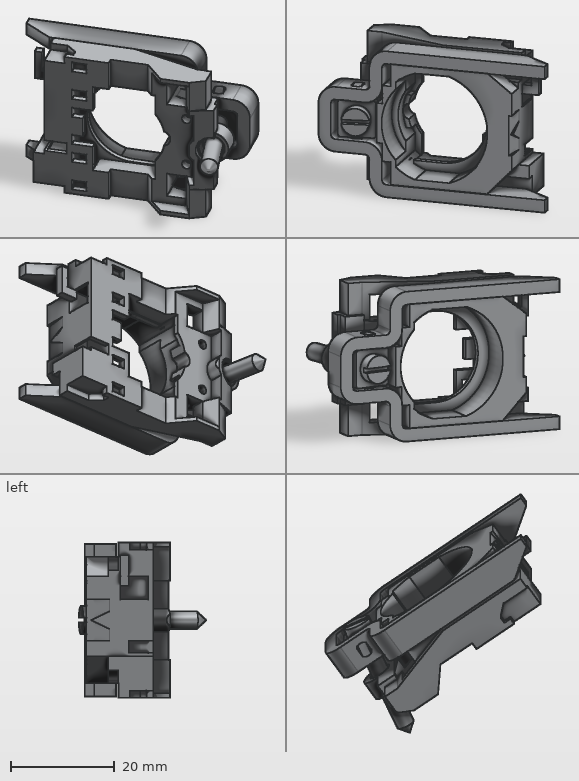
import cadquery as cq
import math


LENGTH = 46.0
STRIP = 2.55
CLAMP_FRONT = -6.05
ARM_OUTER_Z = 14.7
ARM_INNER_Z = ARM_OUTER_Z - STRIP
ARM_TIP_DEPTH = 1.9
ARM_TAPER_LENGTH = 5.75
CROSSBAR_INNER_X = 33.07
CROSSBAR_OUTER_X = CROSSBAR_INNER_X + STRIP
BEND_INNER_R = 0.95
BEND_OUTER_R = BEND_INNER_R + STRIP
LOOP_OUTER_Z = 6.55
LOOP_INNER_Z = LOOP_OUTER_Z - STRIP

TILT = 10.0
PIVOT_X = 38.95
PIVOT_Y = CLAMP_FRONT / 2
SHANK_D = 3.5
HEAD_D = 5.5
HEAD_HEIGHT = 2.3
DRIVE_SLOT_WIDTH = 0.87
DRIVE_SLOT_DEPTH = 1.1
TIP_LENGTH = 1.95
TIP_REACH = 20.75
NUT_LENGTH = 7.35
NUT_HALF_HEIGHT = 3.73
NUT_THICKNESS = 2.95
NUT_CORNER_R = 0.45
TRUNNION_D = 2.95
TRUNNION_FLATS = 1.75
TRUNNION_HOLE_FLATS = 2.15

HALF_HEIGHT = 15.0
LEFT_X = 6.8
FOOT_LEFT_X = 4.65
FOOT_TOP_Z = -7.0
CORE_BACK = -0.3
CORE_STEP_Y = -4.5
CORE_FRONT = -11.05
PLATE_BACK = -6.5
BACK_SLOPE_START_X = 22.9
BACK_SLOPE_END_X = 36.8
PLATE_END_BACK = -11.0
PLATE_RIGHT_X = 39.7
FACE_Y = -13.25
WAIST_START_X = 19.75
WAIST_END_X = 27.2
WAIST_Y = -11.8
NOSE_START_X = 31.0
NOSE_Y = -16.45
CORE_END_X = 31.4
CORE_BEVEL_Z = 8.45
ARM_RELIEF_X = 11.78
ARM_RELIEF_Z = 9.6
ARM_RELIEF_D = 4.0

BORE_X = 23.0
CAVITY_R = 11.25
CAVITY_HALF_HEIGHT = 10.7
CAVITY_END_X = 30.4
END_BORE_R = 10.25
LIP_BACK = -7.1
LIP_FRONT = -8.3
LIP_R = 8.95
LIP_END_X = 29.9
OPENING_LEFT_X = 16.5
OPENING_RIGHT_X = 29.03
OPENING_HALF_HEIGHT = 9.2
FRONT_BORE_R = 7.95
FRONT_BORE_BACK = -9.55
RIM_THICKNESS = 1.05
POST_HALF_HEIGHT = 3.3
SCALLOP_X = 30.45
SCALLOP_R = 1.6

FRONT_WALL = 1.4
WINDOW_LEFT_X = 12.37
WINDOW_WIDTH = 2.9
WINDOW_HEIGHT = 2.02
WINDOW_PITCHES = (6.95, 13.0)
NOTCH_HALF_HEIGHT = 4.0
TONGUE_END_X = 14.55

POCKET_HALF_HEIGHT = 14.1
POCKET_LEFT_X = 28.4
POCKET_FOOT_X = 35.4
BLOCK_LEFT_X = 36.75
BLOCK_RIGHT_X = 41.25
BLOCK_EDGE_Y = -14.9
BLOCK_BACK = -10.0
BLOCK_STEP_Y = -12.35
BLOCK_HALF_HEIGHT = 8.7
CENTRE_HALF_HEIGHT = 7.65
CENTRE_WALL_X = 37.6
PEDESTAL_END_X = 35.0
PEDESTAL_CORNER_R = 2.75
GUSSET_LEFT_X = 34.5
GUSSET_BACK = -8.0
SIDE_WINDOW_RIGHT_X = 35.35
SIDE_WINDOW_TOP_Z = 12.55
PILOT_D = 1.85
PILOT_X = 35.35
PILOT_Z = 5.0
PILOT_DEPTH = 2.3
BOSS_X = 40.7
BOSS_R = 3.2
BOSS_FRONT = -13.95
COLLAR_R = 2.75
COLLAR_X = 39.25
SCREW_HOLE_D = 4.35
HOLE_MOUTH_D = 4.9
HOLE_MOUTH_FLOOR = -12.4
HOLE_RIM_D = 5.5
HOLE_RIM_FLOOR = -14.7

RECESS_DEPTH = 0.6
RECESS_HALF_HEIGHT = 4.0
RECESS_FRONT = -4.8
TOOTH_TIP_Y = -1.25
TOOTH_HALF_HEIGHT = 1.7
CORNER_NOTCH_Z = 13.55
CORNER_NOTCH_BACK = -8.75
CORNER_NOTCH_END_X = 12.3
CORNER_BEVEL_X = 10.15
CORNER_BEVEL_Y = -10.7
CORNER_LIP_X = 10.85
CORNER_LIP_Y = -12.0
HOOK_LEFT_X = 3.55
HOOK_WIDTH = 1.43
HOOK_TOP_Z = 12.55
HOOK_BOTTOM_Z = 6.62
HOOK_LEG_TOP_Z = 8.45
HOOK_BACK = -6.9
HOOK_FRONT = -8.45
END_WALL = 0.45
END_WINDOW_Z = 4.0
LOWER_WINDOW_BOTTOM_Z = -6.3
CHAMBER_END_X = 11.3
CHAMBER_FRONT = -12.3
CHAMBER_BOTTOM_Z = -6.75
CHAMBER_TOP_Z = 9.2

CLEAR = 2.3


def block(x0, x1, y0, y1, z0, z1):
    """Box between two opposite corners."""
    return cq.Workplane("XY").box(x1 - x0, y1 - y0, z1 - z0, centered=False).translate((x0, y0, z0))


def slab(points, half_height):
    """XY outline extruded equally up and down from Z = 0."""
    return cq.Workplane("XY").polyline(points).close().extrude(half_height, both=True)


def facing(back, front, sketch):
    """XZ sketch extruded from the back plane towards the front plane."""
    return sketch(cq.Workplane("XZ", origin=(0, back, 0))).extrude(back - front)


def round_bar(x, z, radius, back, front):
    """Cylinder along Y."""
    return facing(back, front, lambda plane: plane.center(x, z).circle(radius))


def tilted(shape):
    """Move a shape built along Y at the origin onto the tilted screw axis."""
    return shape.rotate((0, 0, 0), (0, 0, 1), TILT).translate((PIVOT_X, PIVOT_Y, 0))


def mirrored(shape):
    """Copy of a shape on the other side of Z = 0."""
    return shape.mirror("XY")


def trunnion_bar(flats):
    """Bar along Z, round in section with two flats facing +X and -X."""
    bar = cq.Workplane("XY").circle(TRUNNION_D / 2).extrude(LOOP_OUTER_Z, both=True)
    keep = cq.Workplane("XY").rect(flats, TRUNNION_D).extrude(LOOP_OUTER_Z, both=True)
    return bar.intersect(keep)


def make_clamp():
    diagonal = math.sqrt(0.5)
    bend_x = CROSSBAR_OUTER_X - BEND_OUTER_R
    bend_z = ARM_OUTER_Z - BEND_OUTER_R
    neck_x = CROSSBAR_OUTER_X + BEND_INNER_R
    neck_z = LOOP_OUTER_Z + BEND_INNER_R
    loop_x = LENGTH - BEND_OUTER_R
    loop_z = LOOP_OUTER_Z - BEND_OUTER_R

    def bend(plane, x, z, radius, side_x, side_z, end):
        """Quarter turn about (x, z) that bulges towards the given sides."""
        middle = (x + side_x * radius * diagonal, z + side_z * radius * diagonal)
        return plane.threePointArc(middle, end)

    def upper_half(plane):
        plane = plane.moveTo(0, ARM_OUTER_Z).lineTo(bend_x, ARM_OUTER_Z)
        plane = bend(plane, bend_x, bend_z, BEND_OUTER_R, 1, 1, (CROSSBAR_OUTER_X, bend_z))
        plane = plane.lineTo(CROSSBAR_OUTER_X, neck_z)
        plane = bend(plane, neck_x, neck_z, BEND_INNER_R, -1, -1, (neck_x, LOOP_OUTER_Z))
        plane = plane.lineTo(loop_x, LOOP_OUTER_Z)
        plane = bend(plane, loop_x, loop_z, BEND_OUTER_R, 1, 1, (LENGTH, loop_z))
        plane = plane.lineTo(LENGTH, 0).lineTo(LENGTH - STRIP, 0).lineTo(LENGTH - STRIP, loop_z)
        plane = bend(plane, loop_x, loop_z, BEND_INNER_R, 1, 1, (loop_x, LOOP_INNER_Z))
        plane = plane.lineTo(neck_x, LOOP_INNER_Z)
        plane = bend(plane, neck_x, neck_z, BEND_OUTER_R, -1, -1, (CROSSBAR_INNER_X, neck_z))
        plane = plane.lineTo(CROSSBAR_INNER_X, bend_z)
        plane = bend(plane, bend_x, bend_z, BEND_INNER_R, 1, 1, (bend_x, ARM_INNER_Z))
        return plane.lineTo(0, ARM_INNER_Z).close()

    half = facing(0, CLAMP_FRONT, upper_half)
    clamp = half.union(mirrored(half))
    taper = [(0, -ARM_TIP_DEPTH), (ARM_TAPER_LENGTH, CLAMP_FRONT), (0, CLAMP_FRONT)]
    clamp = clamp.cut(slab(taper, HALF_HEIGHT))
    return clamp.cut(trunnion_bar(TRUNNION_HOLE_FLATS).translate((PIVOT_X, PIVOT_Y, 0)))


def make_screw():
    seat = NUT_THICKNESS / 2
    head_top = seat + HEAD_HEIGHT
    profile = [
        (0, head_top),
        (HEAD_D / 2, head_top),
        (HEAD_D / 2, seat),
        (SHANK_D / 2, seat),
        (SHANK_D / 2, TIP_LENGTH - TIP_REACH),
        (0, -TIP_REACH),
    ]
    screw = cq.Workplane("XY").polyline(profile).close().revolve(360, (0, 0, 0), (0, 1, 0))
    drive_slot = cq.Workplane("XY").box(2 * HEAD_D, 2 * DRIVE_SLOT_DEPTH, DRIVE_SLOT_WIDTH)
    return tilted(screw.cut(drive_slot.translate((0, head_top, 0))))


def make_nut():
    nut = cq.Workplane("XY").box(NUT_LENGTH, NUT_THICKNESS, 2 * NUT_HALF_HEIGHT)
    nut = nut.edges("|Y").fillet(NUT_CORNER_R)
    nut = nut.union(trunnion_bar(TRUNNION_FLATS))
    return tilted(nut.cut(round_bar(0, 0, SHANK_D / 2, NUT_THICKNESS, -NUT_THICKNESS)))


def housing_plate():
    """Full-height front part, with its waist and its raised right end."""
    outline = [
        (LEFT_X, PLATE_BACK),
        (BACK_SLOPE_START_X, PLATE_BACK),
        (BACK_SLOPE_END_X, PLATE_END_BACK),
        (PLATE_RIGHT_X, PLATE_END_BACK),
        (PLATE_RIGHT_X, BLOCK_EDGE_Y),
        (BLOCK_LEFT_X, NOSE_Y),
        (NOSE_START_X, NOSE_Y),
        (WAIST_END_X, WAIST_Y),
        (WAIST_START_X, WAIST_Y),
        (WAIST_START_X, FACE_Y),
        (LEFT_X, FACE_Y),
    ]
    foot = block(FOOT_LEFT_X, LEFT_X, FACE_Y, CORE_STEP_Y, -HALF_HEIGHT, FOOT_TOP_Z)
    return slab(outline, HALF_HEIGHT).union(foot)


def housing_core():
    """Rear part that fits between the clamp arms, with a nose reaching into the clamp loop."""
    outline = [
        (LEFT_X, FOOT_TOP_Z),
        (ARM_RELIEF_X, -ARM_INNER_Z),
        (CORE_END_X, -ARM_INNER_Z),
        (CORE_END_X, ARM_INNER_Z),
        (ARM_RELIEF_X, ARM_INNER_Z),
        (LEFT_X, CORE_BEVEL_Z),
    ]
    core = facing(CORE_BACK, CORE_STEP_Y, lambda plane: plane.polyline(outline).close())
    core = core.union(block(LEFT_X, CORE_END_X, CORE_FRONT, CORE_STEP_Y, -ARM_INNER_Z, ARM_INNER_Z))
    nose_x = CROSSBAR_INNER_X
    nose_z = CENTRE_HALF_HEIGHT
    core = core.union(block(CORE_END_X, nose_x, PLATE_BACK, CORE_BACK, -nose_z, nose_z))
    tip_x = BORE_X + CAVITY_R
    return core.union(block(nose_x, tip_x, PLATE_BACK, CORE_BACK, -LOOP_INNER_Z, LOOP_INNER_Z))


def arm_relief():
    """Clearance beside one clamp arm, with a rounded inner corner."""
    relief = block(0, ARM_RELIEF_X, PLATE_BACK, CORE_STEP_Y, ARM_RELIEF_Z, HALF_HEIGHT)
    return relief.edges("|Y and >X and <Z").fillet(ARM_RELIEF_D / 2)


def rim_relief():
    """Space behind the thin right rim of the front opening, leaving a thick post around the scallop."""
    rim_back = FACE_Y + RIM_THICKNESS
    half_height = CAVITY_HALF_HEIGHT
    flat_end = block(OPENING_RIGHT_X, CAVITY_END_X, rim_back, PLATE_BACK, -half_height, half_height)
    relief = flat_end.intersect(round_bar(BORE_X, 0, CAVITY_R, PLATE_BACK, rim_back))
    round_end = block(OPENING_RIGHT_X, LENGTH, rim_back, PLATE_BACK, -half_height, half_height)
    relief = relief.union(round_end.intersect(round_bar(BORE_X, 0, LIP_R, PLATE_BACK, rim_back)))
    post_z = POST_HALF_HEIGHT
    return relief.cut(block(OPENING_RIGHT_X, LENGTH, rim_back, FRONT_BORE_BACK, -post_z, post_z))


def bore_cut():
    """Stepped bore: wide rear cavity, lip, and the opening in the front face."""
    back = CORE_BACK + CLEAR
    cavity = round_bar(BORE_X, 0, CAVITY_R, back, LIP_BACK)
    limit = block(0, CAVITY_END_X, LIP_BACK, back, -CAVITY_HALF_HEIGHT, CAVITY_HALF_HEIGHT)
    cut = cavity.intersect(limit)
    end_bore = round_bar(BORE_X, 0, END_BORE_R, back, PLATE_BACK)
    cut = cut.union(end_bore.intersect(block(BORE_X, LENGTH, FACE_Y, back, -LIP_R, LIP_R)))
    cut = cut.union(round_bar(BORE_X, 0, LIP_R, LIP_BACK, LIP_FRONT))
    cut = cut.union(block(BORE_X, LIP_END_X, LIP_FRONT, LIP_BACK, -LIP_R, LIP_R))
    opening_z = OPENING_HALF_HEIGHT
    front = NOSE_Y - CLEAR
    cut = cut.union(block(OPENING_LEFT_X, OPENING_RIGHT_X, front, LIP_FRONT, -opening_z, opening_z))
    front_bore = round_bar(BORE_X, 0, FRONT_BORE_R, FRONT_BORE_BACK, front)
    cut = cut.union(front_bore.intersect(block(BORE_X, LENGTH, front, 0, -opening_z, opening_z)))
    cut = cut.union(round_bar(SCALLOP_X, 0, SCALLOP_R, FRONT_BORE_BACK, front))
    return cut.union(rim_relief())


def contact_windows():
    """Chamber behind the front wall, the windows into it, and the notch with a tongue."""
    wall_back = FACE_Y + FRONT_WALL
    window_right = WINDOW_LEFT_X + WINDOW_WIDTH
    top = CAVITY_HALF_HEIGHT
    cut = block(WINDOW_LEFT_X, OPENING_LEFT_X, wall_back, LIP_FRONT, -top, top)
    for pitch in WINDOW_PITCHES:
        for centre in (-pitch, pitch):
            low = centre - WINDOW_HEIGHT / 2
            window = block(WINDOW_LEFT_X, window_right, FACE_Y, wall_back, low, low + WINDOW_HEIGHT)
            cut = cut.union(window)
    notch_z = NOTCH_HALF_HEIGHT
    tongue_z = notch_z - WINDOW_HEIGHT
    notch = block(WINDOW_LEFT_X, OPENING_LEFT_X, FACE_Y, wall_back, -notch_z, notch_z)
    tongue = block(WINDOW_LEFT_X, TONGUE_END_X, FACE_Y, wall_back, -tongue_z, tongue_z)
    return cut.union(notch.cut(tongue))


def terminal_pocket():
    """Recess down to the front face level, stopped by a sloping wall on the right."""
    outline = [
        (POCKET_LEFT_X, FACE_Y),
        (POCKET_FOOT_X, FACE_Y),
        (BLOCK_LEFT_X, NOSE_Y),
        (BLOCK_LEFT_X, NOSE_Y - CLEAR),
        (POCKET_LEFT_X, NOSE_Y - CLEAR),
    ]
    return slab(outline, POCKET_HALF_HEIGHT)


def terminal_block():
    """Middle block and the gusset and pedestal that carry it."""
    outline = [
        (BLOCK_LEFT_X, BLOCK_BACK),
        (BOSS_X, BLOCK_BACK),
        (BOSS_X, BLOCK_STEP_Y),
        (BLOCK_RIGHT_X, BLOCK_STEP_Y),
        (BLOCK_RIGHT_X, BLOCK_EDGE_Y),
        (BLOCK_LEFT_X, NOSE_Y),
    ]
    gusset = [
        (GUSSET_LEFT_X, GUSSET_BACK),
        (BLOCK_LEFT_X, BLOCK_BACK),
        (BLOCK_LEFT_X, FACE_Y),
        (GUSSET_LEFT_X, FACE_Y),
    ]
    half_height = CENTRE_HALF_HEIGHT
    pedestal = block(BORE_X, PEDESTAL_END_X, FACE_Y, CLAMP_FRONT, -half_height, half_height)
    pedestal = pedestal.edges("|Y and >X").fillet(PEDESTAL_CORNER_R)
    return slab(outline, BLOCK_HALF_HEIGHT).union(slab(gusset, half_height)).union(pedestal)


def screw_collar():
    """Half-round collar in front of the block wall, trimmed by the block's two sloping faces."""
    envelope = [
        (POCKET_FOOT_X, FACE_Y),
        (BLOCK_RIGHT_X, FACE_Y),
        (BLOCK_RIGHT_X, BLOCK_EDGE_Y),
        (BLOCK_LEFT_X, NOSE_Y),
    ]
    collar = round_bar(COLLAR_X, 0, COLLAR_R, FACE_Y, NOSE_Y)
    return collar.intersect(slab(envelope, BLOCK_HALF_HEIGHT))


def screw_hole():
    """Tilted clearance hole that opens into a straight mouth with a wider rim."""
    hole = tilted(round_bar(0, 0, SCREW_HOLE_D / 2, CLAMP_FRONT, -LENGTH / 2))
    mouth = round_bar(BOSS_X, 0, HOLE_MOUTH_D / 2, HOLE_MOUTH_FLOOR, NOSE_Y - CLEAR)
    rim = round_bar(BOSS_X, 0, HOLE_RIM_D / 2, HOLE_RIM_FLOOR, NOSE_Y - CLEAR)
    return hole.union(mouth).union(rim)


def tooth_recess():
    """Recess in the left end, shallower towards the front, that leaves a pointed tooth standing."""
    right_x = LEFT_X + RECESS_DEPTH
    outline = [(0, CORE_BACK), (right_x, CORE_BACK), (LEFT_X, RECESS_FRONT), (0, RECESS_FRONT)]
    recess = slab(outline, RECESS_HALF_HEIGHT)
    tooth_outline = [
        (RECESS_FRONT, -TOOTH_HALF_HEIGHT),
        (TOOTH_TIP_Y, 0),
        (RECESS_FRONT, TOOTH_HALF_HEIGHT),
    ]
    tooth = cq.Workplane("YZ").polyline(tooth_outline).close().extrude(right_x)
    return recess.cut(tooth)


def corner_notch():
    """Bevelled notch with an undercut in the upper left edge."""
    outline = [
        (0, CORNER_NOTCH_BACK),
        (CORNER_BEVEL_X, CORNER_NOTCH_BACK),
        (CORNER_NOTCH_END_X, CORNER_BEVEL_Y),
        (CORNER_NOTCH_END_X, CORNER_LIP_Y),
        (CORNER_LIP_X, CORNER_LIP_Y),
        (CORNER_LIP_X, FACE_Y),
        (0, FACE_Y),
    ]
    notch = cq.Workplane("XY").polyline(outline).close().extrude(HALF_HEIGHT - CORNER_NOTCH_Z)
    return notch.translate((0, 0, CORNER_NOTCH_Z))


def end_chamber():
    """Hollow behind the left end and its two windows; the lower one goes round the front corner."""
    chamber_x = LEFT_X + END_WALL
    upper = block(0, chamber_x, CHAMBER_FRONT, HOOK_FRONT, END_WINDOW_Z, HOOK_LEG_TOP_Z)
    slot = block(0, chamber_x, HOOK_FRONT, HOOK_BACK, END_WINDOW_Z, HOOK_BOTTOM_Z)
    lower = block(0, CHAMBER_END_X, FACE_Y, HOOK_FRONT, LOWER_WINDOW_BOTTOM_Z, -END_WINDOW_Z)
    chamber = block(
        chamber_x, CHAMBER_END_X, CHAMBER_FRONT, HOOK_BACK, CHAMBER_BOTTOM_Z, CHAMBER_TOP_Z
    )
    return chamber.union(upper).union(slot).union(lower)


def hook():
    """L-shaped hook standing out from the left end."""
    post_right = HOOK_LEFT_X + HOOK_WIDTH
    post = block(HOOK_LEFT_X, post_right, HOOK_FRONT, HOOK_BACK, HOOK_BOTTOM_Z, HOOK_TOP_Z)
    return post.union(block(HOOK_LEFT_X, LEFT_X, HOOK_FRONT, HOOK_BACK, HOOK_BOTTOM_Z, HOOK_LEG_TOP_Z))


def make_housing():
    body = housing_plate().union(housing_core())
    body = body.cut(arm_relief()).cut(mirrored(arm_relief()))
    body = body.cut(terminal_pocket()).union(terminal_block())

    centre_z = CENTRE_HALF_HEIGHT
    front = NOSE_Y - CLEAR
    body = body.cut(block(POCKET_LEFT_X, CENTRE_WALL_X, front, FACE_Y, -centre_z, centre_z))
    body = body.union(screw_collar()).union(round_bar(BOSS_X, 0, BOSS_R, BLOCK_BACK, BOSS_FRONT))
    body = body.cut(screw_hole()).cut(bore_cut()).cut(contact_windows())

    side_window = block(CORE_END_X, SIDE_WINDOW_RIGHT_X, front, CLAMP_FRONT, centre_z, SIDE_WINDOW_TOP_Z)
    pilot = round_bar(PILOT_X, PILOT_Z, PILOT_D / 2, FACE_Y + PILOT_DEPTH, FACE_Y)
    for cutter in (side_window, pilot, corner_notch()):
        body = body.cut(cutter).cut(mirrored(cutter))

    return body.cut(tooth_recess()).cut(end_chamber()).union(hook())


clamp = make_clamp()
screw = make_screw()
nut = make_nut()
housing = make_housing()

result = cq.Compound.makeCompound([housing.val(), clamp.val(), screw.val(), nut.val()])